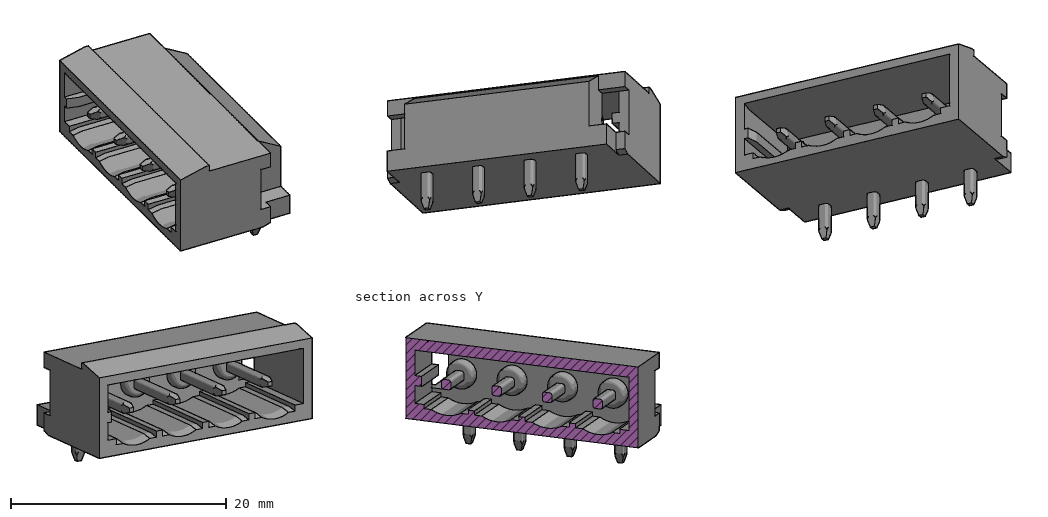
import cadquery as cq


CONTACT_COUNT = 4
PITCH = 5.09
PIN_SIZE = 1.0
PIN_CORNER_RADIUS = 0.28
PIN_TAPER = 0.98
PIN_TIP_SIZE = 0.45
PIN_Z = 3.8
PIN_FRONT_Y = 0.85
PIN_REAR_Y = 9.99
PIN_BELOW = 3.42

WIDTH = 23.45
DEPTH = 12.0
SHELL_DEPTH = 9.5
SHELL_TOP = 7.88
FRONT_TOP = 7.8
RIDGE_TOP = 8.49
RIDGE_CREST_Y = 2.65
RIDGE_STEP_Y = 3.02
REAR_CHAMFER_Y = 0.77
REAR_CHAMFER_Z = 0.28

BASE_INSET = 0.9
BLOCK_INSET = 2.63
BLOCK_SLOPE_TOP = 7.75
WINDOW_BOTTOM = 2.0
WINDOW_TOP = 6.38

WALL = 0.95
CAVITY_DEPTH = 8.46
CAVITY_TOP = 6.95
LEDGE_Z = 1.62
RIB_WIDTH = 0.68
TROUGH_Z = 1.03
SCALLOP_WIDTH = 2.95
SCALLOP_Z = 0.65
FLOOR_FLARE_DEPTH = 1.0
FLOOR_FLARE_RISE = 0.19
CEILING_FLARE_DEPTH = 0.87
CEILING_FLARE_DROP = 0.23

COLLAR_DIAMETER = 2.77
COLLAR_LENGTH = 0.94
COLLAR_FILLET = 0.42

KEY_WIDTH = 0.68
KEY_CHAMFER = 0.3
KEY_CHAMFER_DEPTH = 1.15
KEY_BOTTOM = 3.3
KEY_TOP = 4.31

HALF_WIDTH = WIDTH / 2
CAVITY_HALF_WIDTH = HALF_WIDTH - WALL
CONTACT_XS = [(i - (CONTACT_COUNT - 1) / 2) * PITCH for i in range(CONTACT_COUNT)]


def box(x0, x1, y0, y1, z0, z1):
    """Box between two opposite corners."""
    return cq.Workplane("XY").box(x1 - x0, y1 - y0, z1 - z0, centered=False).translate((x0, y0, z0))


def side_profile(points, width):
    """Outline of (y, z) points, extruded evenly to both sides of x = 0."""
    return cq.Workplane("YZ").polyline(points).close().extrude(width / 2, both=True)


def shell():
    """Full-width outer body with the latch ridge on top."""
    return side_profile(
        [
            (0, 0),
            (SHELL_DEPTH - REAR_CHAMFER_Y, 0),
            (SHELL_DEPTH, REAR_CHAMFER_Z),
            (SHELL_DEPTH, SHELL_TOP),
            (RIDGE_STEP_Y, SHELL_TOP),
            (RIDGE_STEP_Y, RIDGE_TOP),
            (RIDGE_CREST_Y, RIDGE_TOP),
            (0, FRONT_TOP),
        ],
        WIDTH,
    )


def rear_block():
    """Sloped block behind the shell, standing on a wider base."""
    block = side_profile(
        [
            (CAVITY_DEPTH, 0),
            (DEPTH, 0),
            (DEPTH, WINDOW_TOP),
            (SHELL_DEPTH, BLOCK_SLOPE_TOP),
            (CAVITY_DEPTH, BLOCK_SLOPE_TOP),
        ],
        WIDTH - 2 * BLOCK_INSET,
    )
    base_half = HALF_WIDTH - BASE_INSET
    return block.union(box(-base_half, base_half, CAVITY_DEPTH, DEPTH, 0, WINDOW_BOTTOM))


def side_windows():
    """Openings through both rear corners, from the cavity to the outside."""
    inner = HALF_WIDTH - BLOCK_INSET
    right = box(inner, HALF_WIDTH, CAVITY_DEPTH, DEPTH, WINDOW_BOTTOM, WINDOW_TOP)
    return right.union(right.mirror("YZ"))


def trough(x):
    """Scalloped trough in the cavity floor, rising along the lead-in to a level run."""
    half = (PITCH - RIB_WIDTH) / 2
    mouth = (
        cq.Workplane("XZ", origin=(x, 0, 0))
        .moveTo(-half, LEDGE_Z)
        .lineTo(-half, TROUGH_Z)
        .lineTo(-SCALLOP_WIDTH / 2, TROUGH_Z)
        .threePointArc((0, SCALLOP_Z), (SCALLOP_WIDTH / 2, TROUGH_Z))
        .lineTo(half, TROUGH_Z)
        .lineTo(half, LEDGE_Z)
        .close()
        .val()
    )
    lead_in = cq.Vector(0, FLOOR_FLARE_DEPTH, FLOOR_FLARE_RISE)
    level_run = cq.Vector(0, CAVITY_DEPTH - FLOOR_FLARE_DEPTH, 0)
    flare = cq.Solid.extrudeLinear(mouth, [], lead_in)
    run = cq.Solid.extrudeLinear(mouth.translate(lead_in), [], level_run)
    return cq.Workplane(flare).union(cq.Workplane(run))


def cavity():
    """Mating cavity with a sloped lead-in along its ceiling and a trough under each contact."""
    ceiling = CAVITY_TOP - CEILING_FLARE_DROP
    space = side_profile(
        [
            (0, LEDGE_Z),
            (CAVITY_DEPTH, LEDGE_Z),
            (CAVITY_DEPTH, ceiling),
            (CEILING_FLARE_DEPTH, ceiling),
            (0, CAVITY_TOP),
        ],
        2 * CAVITY_HALF_WIDTH,
    )
    for x in CONTACT_XS:
        space = space.union(trough(x))
    return space


def coding_key():
    """Rib along the left cavity wall, with a long chamfer at the mouth."""
    root_x = -CAVITY_HALF_WIDTH - WALL / 2
    crest_x = -CAVITY_HALF_WIDTH + KEY_WIDTH
    outline = [
        (root_x, 0),
        (crest_x - KEY_CHAMFER, 0),
        (crest_x, KEY_CHAMFER_DEPTH),
        (crest_x, CAVITY_DEPTH),
        (root_x, CAVITY_DEPTH),
    ]
    rib = cq.Workplane("XY", origin=(0, 0, KEY_BOTTOM)).polyline(outline).close()
    return rib.extrude(KEY_TOP - KEY_BOTTOM)


def collar(x):
    """Rounded collar on the cavity back wall."""
    return (
        cq.Workplane("XZ", origin=(x, CAVITY_DEPTH, PIN_Z))
        .circle(COLLAR_DIAMETER / 2)
        .extrude(COLLAR_LENGTH)
        .faces("<Y")
        .edges()
        .fillet(COLLAR_FILLET)
    )


def pin_leg(length):
    """Square leg with rounded corners along +Z, ending in a blunt pyramid point."""
    shaft = cq.Workplane("XY").rect(PIN_SIZE, PIN_SIZE).extrude(length)
    shaft = shaft.edges("|Z").fillet(PIN_CORNER_RADIUS)
    envelope = cq.Workplane("XY").rect(PIN_SIZE, PIN_SIZE).extrude(length - PIN_TAPER)
    point = (
        envelope.faces(">Z")
        .workplane()
        .rect(PIN_SIZE, PIN_SIZE)
        .workplane(offset=PIN_TAPER)
        .rect(PIN_TIP_SIZE, PIN_TIP_SIZE)
        .loft(combine=True)
    )
    return shaft.intersect(point)


def contact(x):
    """Angled pin: a mating leg towards the front and a solder leg down through the base."""
    mating = pin_leg(PIN_REAR_Y - PIN_FRONT_Y).rotate((0, 0, 0), (1, 0, 0), 90)
    solder = pin_leg(PIN_Z + PIN_BELOW).rotate((0, 0, 0), (1, 0, 0), 180)
    return mating.union(solder).translate((x, PIN_REAR_Y, PIN_Z))


result = shell().union(rear_block()).cut(cavity()).cut(side_windows()).union(coding_key())
for contact_x in CONTACT_XS:
    result = result.union(collar(contact_x)).union(contact(contact_x))